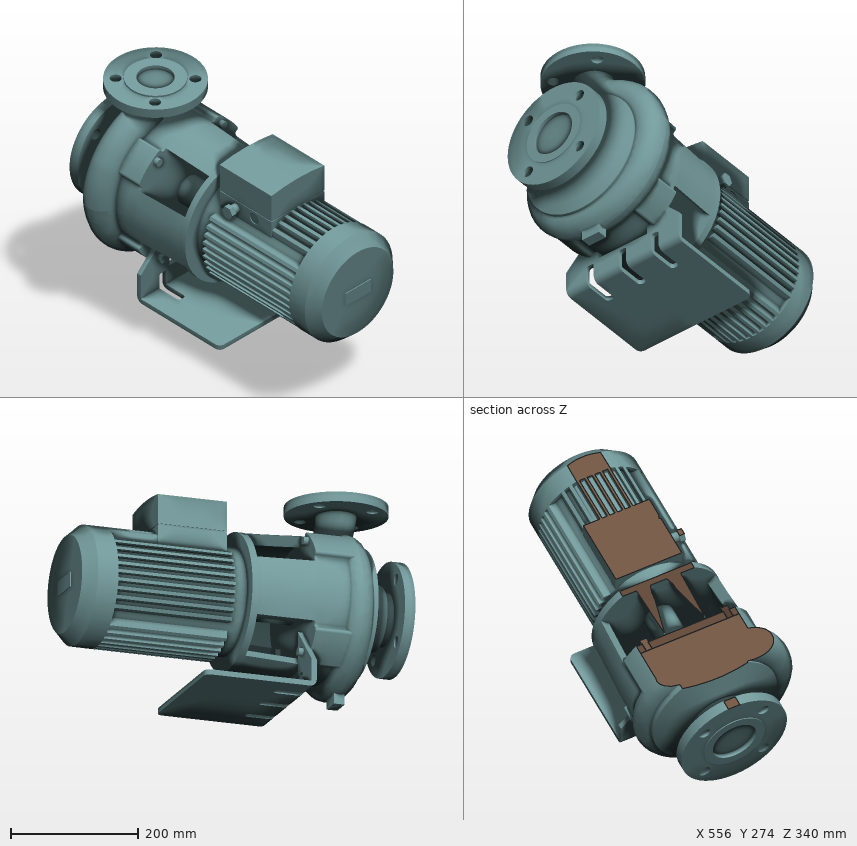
import cadquery as cq
import math


inlet_face_x = -100
inlet_raised_height = 1.5
inlet_flange_back_x = -81
inlet_flange_diameter = 185
inlet_raised_diameter = 106.1
inlet_bolt_circle = 145
inlet_bore_diameter = 76.1
inlet_neck_diameter = 86.1
inlet_collar_x = -66.5
inlet_collar_diameter = 106.1
cone_start_x = -51
cone_start_radius = 56
cone_end_x = -31
cone_end_radius = 108.5

discharge_face_z = 180
discharge_raised_height = 3
discharge_flange_bottom_z = 161
discharge_flange_diameter = 165
discharge_raised_diameter = 100
discharge_bolt_circle = 125
discharge_bore_diameter = 60.3

flange_hole_diameter = 19
flange_hole_count = 4
first_hole_angle = 45
bore_depth = 8

small_outer_radius = 126.55
small_tube_radius = 22.5
large_outer_radius = 147.37
large_tube_radius = 30
outlet_tube_radius = 34.5
scroll_start_angle = 90
growth_start_angle = 180
scroll_end_angle = 360
scroll_step_angle = 30
discharge_steps = 4

drain_length = 17.6
drain_width = 33.5
drain_offset_y = -2.5
drain_bottom_z = -151.5

joint_radius = 116.4
joint_x = 60
lug_radius = 126.3
lug_half_angle = 13.2
lug_flank_radius = 4.7

bracket_plate_end_x = 74.4
motor_joint_x = 181.4
motor_flange_thickness = 11.6
motor_flange_diameter = 223
arm_end_radius = 111
arm_thickness = 18
window_start_width = 79.4
window_end_width = 74.6
hub_diameter = 50

screw_y = 71
screw_z = 92
screw_head_diameter = 13
screw_head_height = 8
screw_shank_diameter = 9

foot_thickness = 8.5
foot_half_width = 113
foot_bottom_z = -160
foot_end_x = 260
foot_near_corner_z = -106
foot_far_corner_z = -115.7
foot_leg_top_z = -51
foot_notch_width = 100
foot_notch_bottom_z = -118
foot_end_fillet = 10
foot_bend_fillet = 11.5
slot_width = 14.7
slot_pitch = 65
slot_end_x = 127.5
slot_top_z = -124
slot_end_fillet = 6
slot_top_fillet = 4

barrel_diameter = 173
shroud_diameter = 193
fin_start_x = 204
fin_end_x = 400
fin_pitch = 13.44
fin_thickness = 5
fins_each_side_of_centre = 4
shroud_cone_x = 434.5
shroud_end_x = 454.5
shroud_end_radius = 78.4
plate_thickness = 1.5
plate_width = 56
plate_height = 24

box_size = 116
box_bottom_z = 64
box_split_z = 98
lid_groove_height = 2.5
lid_groove_depth = 1
box_side_top_z = 146.3
box_crown_z = 151.3
entry_z = 82
gland_x = 241
gland_stem_diameter = 16
gland_stem_length = 11
gland_hex_across_flats = 20
gland_hex_length = 9
entry_x = 281
entry_diameter = 20
entry_depth = 2


def disc(start_x, end_x, diameter):
    """Cylinder on the pump axis."""
    return cq.Workplane("YZ", origin=(start_x, 0, 0)).circle(diameter / 2).extrude(end_x - start_x)


def pillar(bottom_z, top_z, diameter):
    """Cylinder on the discharge axis."""
    return cq.Workplane("XY", origin=(0, 0, bottom_z)).circle(diameter / 2).extrude(top_z - bottom_z)


def box_between(x_range, y_range, z_range):
    """Box given by its limits along each axis."""
    size = [high - low for low, high in (x_range, y_range, z_range)]
    return cq.Workplane("XY").box(*size, centered=False).translate((x_range[0], y_range[0], z_range[0]))


def inlet():
    """Suction flange with its raised face, neck, collar and blind bore."""
    raised_back_x = inlet_face_x + inlet_raised_height
    pipe = disc(inlet_face_x, inlet_flange_back_x, inlet_raised_diameter)
    pipe = pipe.union(disc(raised_back_x, inlet_flange_back_x, inlet_flange_diameter))
    pipe = pipe.union(disc(inlet_flange_back_x, inlet_collar_x, inlet_neck_diameter))
    pipe = pipe.union(disc(inlet_collar_x, cone_start_x, inlet_collar_diameter))
    holes = (
        cq.Workplane("YZ", origin=(inlet_face_x, 0, 0))
        .polarArray(inlet_bolt_circle / 2, first_hole_angle, 360, flange_hole_count)
        .circle(flange_hole_diameter / 2)
        .extrude(inlet_flange_back_x - inlet_face_x)
    )
    bore = disc(inlet_face_x, inlet_face_x + bore_depth, inlet_bore_diameter)
    return pipe.cut(holes).cut(bore)


def discharge_flange():
    """Discharge flange with its raised face and bolt holes."""
    raised_bottom_z = discharge_face_z - discharge_raised_height
    flange = pillar(discharge_flange_bottom_z, raised_bottom_z, discharge_flange_diameter)
    flange = flange.union(pillar(discharge_flange_bottom_z, discharge_face_z, discharge_raised_diameter))
    holes = (
        cq.Workplane("XY", origin=(0, 0, discharge_flange_bottom_z))
        .polarArray(discharge_bolt_circle / 2, first_hole_angle, 360, flange_hole_count)
        .circle(flange_hole_diameter / 2)
        .extrude(discharge_face_z - discharge_flange_bottom_z)
    )
    return flange.cut(holes)


def tube_section(across, up, angle, radius):
    """Circle square to a path that points to `angle` in the (-Y, Z) plane."""
    direction = cq.Vector(0, -math.cos(math.radians(angle)), math.sin(math.radians(angle)))
    return cq.Wire.makeCircle(radius, cq.Vector(0, -across, up), direction)


def loft_tube(sections):
    return cq.Workplane(obj=cq.Solid.makeLoft(sections))


def scroll_section(angle):
    """Section of the scroll: even at first, then growing steadily up to its large end."""
    share = max(0, (angle - growth_start_angle) / (scroll_end_angle - growth_start_angle))
    tube_radius = small_tube_radius + share * (large_tube_radius - small_tube_radius)
    outer_radius = small_outer_radius + share * (large_outer_radius - small_outer_radius)
    centre_radius = outer_radius - tube_radius
    across = centre_radius * math.cos(math.radians(angle))
    up = centre_radius * math.sin(math.radians(angle))
    return tube_section(across, up, angle + 90, tube_radius)


def scroll():
    """Tube from the top, over +Y and under the pump, to -Y."""
    angles = range(scroll_start_angle, scroll_end_angle + 1, scroll_step_angle)
    return loft_tube([scroll_section(angle) for angle in angles])


def discharge_pipe():
    """S-shaped tube: an arc about the pump axis, then an opposite arc that ends upright at the flange."""
    path_radius = large_outer_radius - large_tube_radius
    return_radius = (discharge_face_z**2 - path_radius**2) / (2 * path_radius)
    turn_angle = math.degrees(math.atan2(discharge_face_z, return_radius))
    first_arc = (
        cq.Workplane("XY")
        .center(0, -path_radius)
        .circle(large_tube_radius)
        .revolve(turn_angle, (0, path_radius), (-1, path_radius))
    )
    sections = []
    for step in range(discharge_steps + 1):
        share = step / discharge_steps
        angle = turn_angle * (1 - share)
        across = return_radius - return_radius * math.cos(math.radians(angle))
        up = discharge_face_z - return_radius * math.sin(math.radians(angle))
        radius = large_tube_radius + share**2 * (outlet_tube_radius - large_tube_radius)
        sections.append(tube_section(across, up, angle + 90, radius))
    return first_arc, loft_tube(sections)


def polar(radius, angle):
    return cq.Vector(radius * math.cos(math.radians(angle)), radius * math.sin(math.radians(angle)))


def arc_middle(centre, start, end):
    """Point halfway along the short arc from start to end."""
    direction = (start - centre) + (end - centre)
    return centre + direction.normalized() * (start - centre).Length


def joint_plate(start_x, end_x):
    """Round plate with a lug on each diagonal; each lug flank is a convex arc that runs into a hollow arc."""
    convex_distance = lug_radius - lug_flank_radius
    hollow_distance = joint_radius + lug_flank_radius
    centre_gap = 2 * lug_flank_radius
    cosine = (convex_distance**2 + hollow_distance**2 - centre_gap**2) / (2 * convex_distance * hollow_distance)
    lug_base_half_angle = lug_half_angle + math.degrees(math.acos(cosine))

    def flank(diagonal, side):
        """Points of one flank from the round plate up to the lug: base, middle, turn, middle, top."""
        convex_angle = diagonal + side * lug_half_angle
        hollow_angle = diagonal + side * lug_base_half_angle
        convex_centre = polar(convex_distance, convex_angle)
        hollow_centre = polar(hollow_distance, hollow_angle)
        base = polar(joint_radius, hollow_angle)
        turn = (convex_centre + hollow_centre) * 0.5
        top = polar(lug_radius, convex_angle)
        hollow_middle = arc_middle(hollow_centre, base, turn)
        convex_middle = arc_middle(convex_centre, turn, top)
        return base, hollow_middle, turn, convex_middle, top

    first_diagonal = 45
    start = polar(joint_radius, first_diagonal - lug_base_half_angle)
    outline = cq.Workplane("YZ", origin=(start_x, 0, 0)).moveTo(start.x, start.y)
    for diagonal in range(first_diagonal, 360, 90):
        base, hollow_middle, turn, convex_middle, top = flank(diagonal, -1)
        outline = outline.threePointArc(hollow_middle, turn).threePointArc(convex_middle, top)
        base, hollow_middle, turn, convex_middle, top = flank(diagonal, 1)
        outline = outline.threePointArc(polar(lug_radius, diagonal), top)
        outline = outline.threePointArc(convex_middle, turn).threePointArc(hollow_middle, base)
        next_base = polar(joint_radius, diagonal + 90 - lug_base_half_angle)
        outline = outline.threePointArc(polar(joint_radius, diagonal + 45), next_base)
    return outline.close().extrude(end_x - start_x)


def casing():
    """Volute casing with its inlet, discharge pipe, flanges and drain block."""
    cone = (
        cq.Workplane("XY")
        .moveTo(cone_start_x, 0)
        .lineTo(cone_start_x, cone_start_radius)
        .lineTo(cone_end_x, cone_end_radius)
        .lineTo(0, cone_end_radius)
        .lineTo(0, 0)
        .close()
        .revolve(360, (0, 0), (1, 0))
    )
    drain = cq.Workplane("XY", origin=(0, drain_offset_y, drain_bottom_z)).rect(drain_length, drain_width)
    body = cone.union(joint_plate(0, joint_x))
    for tube in (scroll(), *discharge_pipe()):
        body = body.union(tube)
    body = body.union(drain.extrude(-drain_bottom_z - cone_end_radius))
    above_face = pillar(discharge_face_z, discharge_face_z + outlet_tube_radius, 4 * outlet_tube_radius)
    body = body.union(inlet()).union(discharge_flange()).cut(above_face)
    bore = pillar(discharge_face_z - bore_depth, discharge_face_z, discharge_bore_diameter)
    return body.cut(bore)


def screw(y, z, head_x):
    """Screw from the joint face to the far side of its head, which sits at head_x."""
    plane = cq.Workplane("YZ", origin=(joint_x, y, z))
    shank = plane.circle(screw_shank_diameter / 2).extrude(head_x - joint_x)
    head = plane.workplane(offset=head_x - joint_x).circle(screw_head_diameter / 2).extrude(screw_head_height)
    return shank.union(head)


def window_slot(angle):
    """Slot through the bracket along one diagonal, a little narrower at the motor."""
    flange_x = motor_joint_x - motor_flange_thickness
    start = window_start_width / 2
    end = window_end_width / 2
    outline = [(bracket_plate_end_x, -start), (flange_x, -end), (flange_x, end), (bracket_plate_end_x, start)]
    slot = cq.Workplane("XY").polyline(outline).close().extrude(lug_radius, both=True)
    return slot.rotate((0, 0, 0), (1, 0, 0), angle)


def bracket():
    """Lugged plate, four arms, a hub in the middle and the flange that carries the motor."""
    flange_x = motor_joint_x - motor_flange_thickness
    shell = (
        cq.Workplane("XY")
        .moveTo(bracket_plate_end_x, joint_radius)
        .lineTo(flange_x, arm_end_radius)
        .lineTo(flange_x, arm_end_radius - arm_thickness)
        .lineTo(bracket_plate_end_x, joint_radius - arm_thickness)
        .close()
        .revolve(360, (0, 0), (1, 0))
    )
    arms = shell.cut(window_slot(45)).cut(window_slot(-45))
    body = joint_plate(joint_x, bracket_plate_end_x).union(arms)
    body = body.union(disc(bracket_plate_end_x, flange_x, hub_diameter))
    return body.union(disc(flange_x, motor_joint_x, motor_flange_diameter))


def foot():
    """Bent plate: two slotted legs against the bracket plate and a floor under the motor."""
    start_x = bracket_plate_end_x
    back_x = start_x + foot_thickness
    floor_top_z = foot_bottom_z + foot_thickness
    near_leg_y = -foot_half_width + (foot_leg_top_z - foot_near_corner_z)
    far_leg_y = foot_half_width - (foot_leg_top_z - foot_far_corner_z)
    wall = (
        cq.Workplane("YZ", origin=(start_x, 0, 0))
        .moveTo(-foot_half_width, foot_bottom_z)
        .lineTo(-foot_half_width, foot_near_corner_z)
        .lineTo(near_leg_y, foot_leg_top_z)
        .lineTo(far_leg_y, foot_leg_top_z)
        .lineTo(foot_half_width, foot_far_corner_z)
        .lineTo(foot_half_width, foot_bottom_z)
        .close()
        .extrude(foot_thickness)
    )
    y_range = (-foot_half_width, foot_half_width)
    floor = box_between((start_x, foot_end_x), y_range, (foot_bottom_z, floor_top_z))
    floor = floor.edges("|Z and >X").fillet(foot_end_fillet)
    body = wall.union(floor).edges("|Y and <X and <Z").fillet(foot_bend_fillet)
    notch_range = (-foot_notch_width / 2, foot_notch_width / 2)
    body = body.cut(box_between((start_x, back_x), notch_range, (foot_notch_bottom_z, foot_leg_top_z)))
    for slot_y in (-slot_pitch, 0, slot_pitch):
        slot_range = (slot_y - slot_width / 2, slot_y + slot_width / 2)
        floor_slot = box_between((start_x, slot_end_x), slot_range, (foot_bottom_z, floor_top_z))
        wall_slot = box_between((start_x, back_x), slot_range, (foot_bottom_z, slot_top_z))
        body = body.cut(floor_slot.edges("|Z and >X").fillet(slot_end_fillet))
        body = body.cut(wall_slot.edges("|X and >Z").fillet(slot_top_fillet))
    return body


def motor():
    """Finned barrel with its fan shroud, and the lower half of the terminal box with its cable entries."""
    barrel = disc(motor_joint_x, fin_end_x, barrel_diameter)
    shroud = (
        cq.Workplane("XY")
        .moveTo(fin_end_x, 0)
        .lineTo(fin_end_x, shroud_diameter / 2)
        .lineTo(shroud_cone_x, shroud_diameter / 2)
        .lineTo(shroud_end_x, shroud_end_radius)
        .lineTo(shroud_end_x, 0)
        .close()
        .revolve(360, (0, 0), (1, 0))
    )
    end_plate = cq.Workplane("YZ", origin=(shroud_end_x, 0, 0)).rect(plate_width, plate_height)
    fin_envelope = disc(fin_start_x, fin_end_x, shroud_diameter)
    body = barrel.union(shroud).union(end_plate.extrude(plate_thickness))
    fin_row = [
        (0, fin_pitch * index)
        for index in range(-fins_each_side_of_centre, fins_each_side_of_centre + 1)
    ]
    fins = (
        cq.Workplane("YZ", origin=(fin_start_x, 0, 0))
        .pushPoints(fin_row)
        .rect(shroud_diameter, fin_thickness)
        .extrude(fin_end_x - fin_start_x)
    )
    for turn in (0, 90):
        body = body.union(fins.rotate((0, 0, 0), (1, 0, 0), turn).intersect(fin_envelope))

    half_box = box_size / 2
    groove_bottom_z = box_split_z - lid_groove_height
    box_range = (fin_start_x, fin_start_x + box_size)
    body = body.union(box_between(box_range, (-half_box, half_box), (box_bottom_z, groove_bottom_z)))
    neck_half = half_box - lid_groove_depth
    neck_range = (box_range[0] + lid_groove_depth, box_range[1] - lid_groove_depth)
    body = body.union(box_between(neck_range, (-neck_half, neck_half), (groove_bottom_z, box_split_z)))

    side = cq.Workplane("XZ", origin=(0, -half_box, entry_z))
    stem = side.center(gland_x, 0).circle(gland_stem_diameter / 2).extrude(gland_stem_length)
    hexagon = (
        cq.Workplane("XZ", origin=(gland_x, -half_box - gland_stem_length, entry_z))
        .polygon(6, gland_hex_across_flats / math.cos(math.pi / 6))
        .extrude(gland_hex_length)
    )
    entry = (
        cq.Workplane("XZ", origin=(entry_x, -half_box, entry_z))
        .circle(entry_diameter / 2)
        .extrude(-entry_depth)
    )
    return body.union(stem).union(hexagon).cut(entry)


def terminal_box_lid():
    """Lid with an arched top."""
    half_box = box_size / 2
    return (
        cq.Workplane("YZ", origin=(fin_start_x, 0, 0))
        .moveTo(-half_box, box_split_z)
        .lineTo(-half_box, box_side_top_z)
        .threePointArc((0, box_crown_z), (half_box, box_side_top_z))
        .lineTo(half_box, box_split_z)
        .close()
        .extrude(box_size)
    )


screws = []
for z_side, head_x in ((1, bracket_plate_end_x), (-1, bracket_plate_end_x + foot_thickness)):
    for y_side in (-1, 1):
        screws.append(screw(y_side * screw_y, z_side * screw_z, head_x))

bracket_body = bracket()
foot_body = foot()
for one_screw in screws:
    bracket_body = bracket_body.cut(one_screw)
    foot_body = foot_body.cut(one_screw)

pump_casing = casing()
motor_body = motor()
lid = terminal_box_lid()

result = cq.Compound.makeCompound(
    [
        *pump_casing.vals(),
        *bracket_body.vals(),
        *foot_body.vals(),
        *motor_body.vals(),
        *lid.vals(),
        *[one_screw.val() for one_screw in screws],
    ]
)